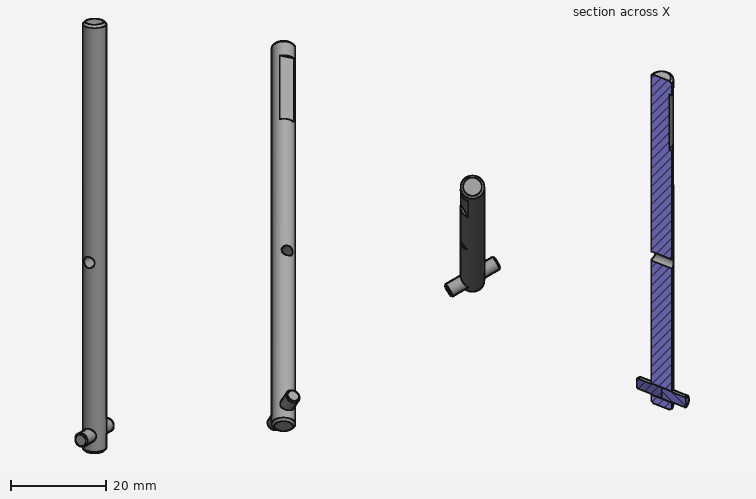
import cadquery as cq

shaft_length = 95.0
shaft_diameter = 5.0
shaft_radius = shaft_diameter / 2
shaft_chamfer = 0.6

cross_hole_diameter = 2.5
cross_hole_height = 42.4

flat_bottom = 75.1
flat_top = 91.0
flat_depth = 0.6

pin_diameter = 3.0
pin_span = 12.0
pin_length = pin_span / 2
pin_height = 4.0
pin_chamfer = 0.3


def y_cylinder(diameter, length, height, start=0.0):
    """Cylinder along +Y, starting at Y = start, with its axis at Z = height."""
    base = cq.Plane(origin=(0, start, height), xDir=(1, 0, 0), normal=(0, 1, 0))
    return cq.Workplane(base).circle(diameter / 2).extrude(length)


def through_bore(diameter, height):
    """Cutter that crosses the whole shaft along Y."""
    return y_cylinder(diameter, shaft_diameter, height, start=-shaft_radius)


def flat_cutter():
    """Block that removes the +Y side of the shaft to the depth of the flat."""
    return (
        cq.Workplane("XY")
        .box(shaft_diameter, flat_depth, flat_top - flat_bottom, centered=(True, False, False))
        .translate((0, shaft_radius - flat_depth, flat_bottom))
    )


def make_shaft():
    body = cq.Workplane("XY").circle(shaft_radius).extrude(shaft_length)
    body = body.faces("<Z or >Z").chamfer(shaft_chamfer)
    body = body.cut(through_bore(cross_hole_diameter, cross_hole_height))
    body = body.cut(through_bore(pin_diameter, pin_height))
    return body.cut(flat_cutter())


def make_pin(angle):
    """Pin from the shaft axis outward along +Y, turned about Z by the angle in degrees."""
    pin = y_cylinder(pin_diameter, pin_length, pin_height)
    pin = pin.faces(">Y").chamfer(pin_chamfer)
    return pin.rotate((0, 0, 0), (0, 0, 1), angle)


shaft = make_shaft()
pins = [make_pin(angle) for angle in (0, 180)]

result = cq.Compound.makeCompound([shaft.val(), *[pin.val() for pin in pins]])